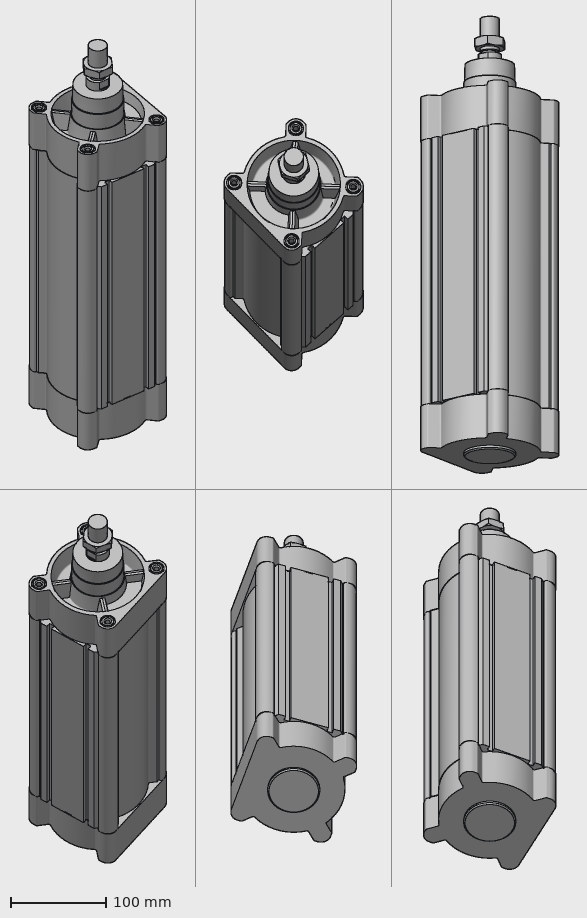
import cadquery as cq
import math

WIDTH = 110.0
HALF_WIDTH = WIDTH / 2
TOTAL_HEIGHT = 481.5

FOOT_HEIGHT = 4.0
CAP_HEIGHT = 48.0
TUBE_HEIGHT = 292.0
TUBE_BOTTOM = FOOT_HEIGHT + CAP_HEIGHT
TUBE_TOP = TUBE_BOTTOM + TUBE_HEIGHT
CAP_TOP = TUBE_TOP + CAP_HEIGHT

BARREL_RADIUS = 54.0
BOLT_OFFSET = 44.5
CORNER_RADIUS = HALF_WIDTH - BOLT_OFFSET
FLANK_SHIFT = 15.0
LOBE_FILLET = 2.5
ROOT_FILLET = 2.0
OVERSHOOT = 9.5
EDGE_TOLERANCE = 0.05

TUBE_BARREL_RADIUS = 53.5
TUBE_CORNER_RADIUS = 12.0
TUBE_LOBE_FILLET = 2.5
LOBE_WALL = 38.5
GROOVE_DEPTH = 3.5
SIDE_FACE_EDGE = 34.0
SLOT_CENTRE = 23.5
SLOT_WIDTH = 6.0
SLOT_DEPTH = 5.0

COLLAR_DIAMETER = 55.0
COLLAR_STEP_Z = 411.5
COLLAR_TOP_Z = 430.5
COLLAR_NECK_DIAMETER = 53.5
COLLAR_TOP_DIAMETER = 52.5
COLLAR_CHAMFER = 0.7
FOOT_CHAMFER = 1.5

RECESS_DEPTH = 22.0
PORT_SECTOR_DEPTH = 12.5
RECESS_RADIUS = 49.0
RECESS_TAPER = 0.22
BOSS_RADIUS = 28.5
BOSS_TAPER = 0.15
FLOOR_FILLET = 2.0
RIB_ANGLE = 45
RIB_TOP_WIDTH = 5.5
RIB_BASE_WIDTH = 12.5
RIB_DROP = 3.0
RIB_RIDGE_RISE = 0.5

SCREW_BORE_DIAMETER = 16.0
SCREW_HEAD_DIAMETER = 12.5
SCREW_MOUTH_DIAMETER = 8.0
SCREW_HOLE_DIAMETER = 5.5
SCREW_RING_DEPTH = 2.5
SCREW_HOLE_DEPTH = 14.5
SCREW_MOUTH_DEPTH = 1.5

ROD_DIAMETER = 25.0
ROD_FLAT_WIDTH = 22.0
ROD_FLAT_BOTTOM = 432.5
ROD_SHOULDER_Z = 441.5
UNDERCUT_DIAMETER = 18.0
THREAD_DIAMETER = 20.0
THREAD_BOTTOM = 444.5
THREAD_CHAMFER = 1.0
ROD_BOTTOM = TUBE_TOP

NUT_SIDES = 6
NUT_WIDTH = 30.0
NUT_BOTTOM = 448.8
NUT_HEIGHT = 10.0
NUT_FACE_DIAMETER = 30.5
NUT_CHAMFER_HEIGHT = 1.0


def cylinder(diameter, bottom, top):
    return cq.Workplane("XY").workplane(offset=bottom).circle(diameter / 2).extrude(top - bottom)


def prism(points, bottom, top):
    return cq.Workplane("XY").workplane(offset=bottom).polyline(points).close().extrude(top - bottom)


def rounded_square(corner_radius, bottom, top):
    block = cq.Workplane("XY").workplane(offset=bottom).rect(WIDTH, WIDTH)
    return block.extrude(top - bottom).edges("|Z").fillet(corner_radius)


def flank_notch(barrel_radius, bottom, top):
    """Cutter for the -Y side: the wedge between two 45 degree flanks, outside the barrel."""
    reach = HALF_WIDTH + OVERSHOOT
    half_base = reach - FLANK_SHIFT
    wedge = prism([(0, -FLANK_SHIFT), (half_base, -reach), (-half_base, -reach)], bottom, top)
    return wedge.cut(cylinder(2 * barrel_radius, bottom, top))


def vertical_edges_at(solid, radius):
    """Vertical edges at the given distance from the axis."""
    edges = [
        edge for edge in solid.edges("|Z").vals()
        if abs(math.hypot(edge.Center().x, edge.Center().y) - radius) < EDGE_TOLERANCE
    ]
    return solid.newObject(edges)


def end_cap(bottom):
    """Corner lobes around a round barrel, with a plain flat side at +Y."""
    top = bottom + CAP_HEIGHT
    cap = rounded_square(CORNER_RADIUS, bottom, top)
    for angle in (-90, 0, 90):
        cap = cap.cut(flank_notch(BARREL_RADIUS, bottom, top).rotate((0, 0, 0), (0, 0, 1), angle))
    cap = vertical_edges_at(cap, BARREL_RADIUS).fillet(ROOT_FILLET)
    lobe_edge_radius = math.hypot(HALF_WIDTH, HALF_WIDTH - FLANK_SHIFT)
    return vertical_edges_at(cap, lobe_edge_radius).fillet(LOBE_FILLET)


def round_side_cutter():
    """Cutter for the -Y side of the tube: flank notch plus a groove beside each corner lobe."""
    reach = HALF_WIDTH + OVERSHOOT
    groove_floor = HALF_WIDTH - GROOVE_DEPTH
    cutter = flank_notch(TUBE_BARREL_RADIUS, TUBE_BOTTOM, TUBE_TOP)
    lobe_side = prism(
        [(-LOBE_WALL, -reach), (LOBE_WALL, -reach), (LOBE_WALL, -groove_floor), (-LOBE_WALL, -groove_floor)],
        TUBE_BOTTOM, TUBE_TOP,
    ).cut(cylinder(2 * TUBE_BARREL_RADIUS, TUBE_BOTTOM, TUBE_TOP))
    trim = prism(
        [(-LOBE_WALL, -reach), (LOBE_WALL, -reach), (LOBE_WALL, -HALF_WIDTH), (0, -FLANK_SHIFT),
         (-LOBE_WALL, -HALF_WIDTH)],
        TUBE_BOTTOM, TUBE_TOP,
    )
    return cutter.intersect(trim).union(lobe_side)


def flat_side_grooves():
    """Cutters for the +X side of the tube: a bevelled groove by each lobe and two sensor slots."""
    reach = HALF_WIDTH + OVERSHOOT
    floor = HALF_WIDTH - GROOVE_DEPTH
    cutters = cq.Workplane("XY")
    for side in (-1, 1):
        groove = prism(
            [(reach, side * LOBE_WALL), (floor, side * LOBE_WALL),
             (floor, side * (SIDE_FACE_EDGE + GROOVE_DEPTH)),
             (HALF_WIDTH, side * SIDE_FACE_EDGE), (reach, side * SIDE_FACE_EDGE)],
            TUBE_BOTTOM, TUBE_TOP,
        )
        slot = (
            cq.Workplane("XY").workplane(offset=TUBE_BOTTOM)
            .center(HALF_WIDTH, side * SLOT_CENTRE)
            .rect(2 * SLOT_DEPTH, SLOT_WIDTH).extrude(TUBE_HEIGHT)
        )
        cutters = cutters.add(groove).add(slot)
    return cutters.combine()


def profile_tube():
    """Extruded tube: barrel faces at -Y and +Y, flat slotted faces at -X and +X."""
    tube = rounded_square(TUBE_CORNER_RADIUS, TUBE_BOTTOM, TUBE_TOP)
    for angle in (0, 180):
        tube = tube.cut(round_side_cutter().rotate((0, 0, 0), (0, 0, 1), angle))
        tube = tube.cut(flat_side_grooves().rotate((0, 0, 0), (0, 0, 1), angle))
    tube = vertical_edges_at(tube, TUBE_BARREL_RADIUS).fillet(ROOT_FILLET)
    lobe_edge_radius = math.hypot(HALF_WIDTH, LOBE_WALL)
    return vertical_edges_at(tube, lobe_edge_radius).fillet(TUBE_LOBE_FILLET)


def collar():
    """Bearing collar: a plain cylinder with a slightly tapered upper part."""
    lower = cylinder(COLLAR_DIAMETER, TUBE_TOP, COLLAR_STEP_Z).faces(">Z").chamfer(COLLAR_CHAMFER)
    upper = (
        cq.Workplane("XY").workplane(offset=COLLAR_STEP_Z).circle(COLLAR_NECK_DIAMETER / 2)
        .workplane(offset=COLLAR_TOP_Z - COLLAR_STEP_Z).circle(COLLAR_TOP_DIAMETER / 2).loft(ruled=True)
    )
    return lower.union(upper)


def recess_ring():
    """Tapered annular cutter, open at the cap face, with rounded floor corners."""
    ring = (
        cq.Workplane("XZ")
        .polyline([
            (BOSS_RADIUS, CAP_TOP),
            (RECESS_RADIUS, CAP_TOP),
            (RECESS_RADIUS - RECESS_TAPER * RECESS_DEPTH, CAP_TOP - RECESS_DEPTH),
            (BOSS_RADIUS + BOSS_TAPER * RECESS_DEPTH, CAP_TOP - RECESS_DEPTH),
        ])
        .close().revolve(360, (0, 0, 0), (0, 1, 0))
    )
    return ring.faces("<Z").edges().fillet(FLOOR_FILLET)


def diagonal_ribs():
    """Two crossing bars with sloped sides and ridged tops, giving four ribs on the diagonals."""
    bar = (
        cq.Workplane("XZ").workplane(offset=-WIDTH / 2)
        .polyline([
            (-RIB_TOP_WIDTH / 2, CAP_TOP - RIB_DROP),
            (0, CAP_TOP - RIB_DROP + RIB_RIDGE_RISE),
            (RIB_TOP_WIDTH / 2, CAP_TOP - RIB_DROP),
            (RIB_BASE_WIDTH / 2, CAP_TOP - RECESS_DEPTH),
            (-RIB_BASE_WIDTH / 2, CAP_TOP - RECESS_DEPTH),
        ])
        .close().extrude(WIDTH)
    )
    rising_bar = bar.rotate((0, 0, 0), (0, 0, 1), RIB_ANGLE)
    falling_bar = bar.rotate((0, 0, 0), (0, 0, 1), -RIB_ANGLE)
    return rising_bar.union(falling_bar)


def port_floor():
    """Fill that raises the recess floor between the two +Y ribs."""
    floor_z = CAP_TOP - PORT_SECTOR_DEPTH
    sector = prism([(0, 0), (WIDTH, WIDTH), (-WIDTH, WIDTH)], TUBE_TOP, floor_z)
    return sector.intersect(cylinder(2 * RECESS_RADIUS, TUBE_TOP, floor_z))


def screw_cutter():
    """Ring gap around a screw head and the chamfered hole in its middle."""
    ring = cylinder(SCREW_BORE_DIAMETER, CAP_TOP - SCREW_RING_DEPTH, CAP_TOP).cut(
        cylinder(SCREW_HEAD_DIAMETER, CAP_TOP - SCREW_RING_DEPTH, CAP_TOP)
    )
    hole = cylinder(SCREW_HOLE_DIAMETER, CAP_TOP - SCREW_HOLE_DEPTH, CAP_TOP)
    mouth = (
        cq.Workplane("XY").workplane(offset=CAP_TOP - SCREW_MOUTH_DEPTH).circle(SCREW_HOLE_DIAMETER / 2)
        .workplane(offset=SCREW_MOUTH_DEPTH).circle(SCREW_MOUTH_DIAMETER / 2)
        .loft(ruled=True)
    )
    return ring.union(hole.union(mouth))


def make_housing():
    housing = end_cap(FOOT_HEIGHT).union(profile_tube()).union(end_cap(TUBE_TOP))
    foot = cylinder(COLLAR_DIAMETER, 0, TUBE_BOTTOM).faces("<Z").chamfer(FOOT_CHAMFER)
    housing = housing.union(foot)
    housing = housing.cut(recess_ring().cut(diagonal_ribs())).union(port_floor()).union(collar())
    for x in (-BOLT_OFFSET, BOLT_OFFSET):
        for y in (-BOLT_OFFSET, BOLT_OFFSET):
            housing = housing.cut(screw_cutter().translate((x, y, 0)))
    return housing.cut(cylinder(ROD_DIAMETER, ROD_BOTTOM, COLLAR_TOP_Z))


def make_rod():
    """Rod with two wrench flats at -X and +X, an undercut and a threaded end."""
    shaft = cylinder(ROD_DIAMETER, ROD_BOTTOM, ROD_SHOULDER_Z)
    for side in (-1, 1):
        flat = (
            cq.Workplane("XY").workplane(offset=ROD_FLAT_BOTTOM)
            .center(side * ROD_FLAT_WIDTH, 0).rect(ROD_FLAT_WIDTH, 2 * ROD_DIAMETER)
            .extrude(ROD_SHOULDER_Z - ROD_FLAT_BOTTOM)
        )
        shaft = shaft.cut(flat)
    undercut = cylinder(UNDERCUT_DIAMETER, ROD_SHOULDER_Z, THREAD_BOTTOM)
    thread = cylinder(THREAD_DIAMETER, THREAD_BOTTOM, TOTAL_HEIGHT).faces("<Z").chamfer(THREAD_CHAMFER)
    return shaft.union(undercut).union(thread)


def make_nut():
    """Hexagon with flats at -X and +X, corners turned down at both ends."""
    half_sector = 180 / NUT_SIDES
    across_corners = NUT_WIDTH / math.cos(math.radians(half_sector))
    top = NUT_BOTTOM + NUT_HEIGHT
    hexagon = (
        cq.Workplane("XY").workplane(offset=NUT_BOTTOM)
        .polygon(NUT_SIDES, across_corners).extrude(NUT_HEIGHT).rotate((0, 0, 0), (0, 0, 1), half_sector)
    )
    turned = cylinder(across_corners, NUT_BOTTOM, top).faces("<Z or >Z").chamfer(
        NUT_CHAMFER_HEIGHT, (across_corners - NUT_FACE_DIAMETER) / 2
    )
    return hexagon.intersect(turned).cut(cylinder(THREAD_DIAMETER, NUT_BOTTOM, top))


housing = make_housing()
rod = make_rod()
nut = make_nut()

result = cq.Compound.makeCompound([housing.solids().val(), rod.solids().val(), nut.solids().val()])